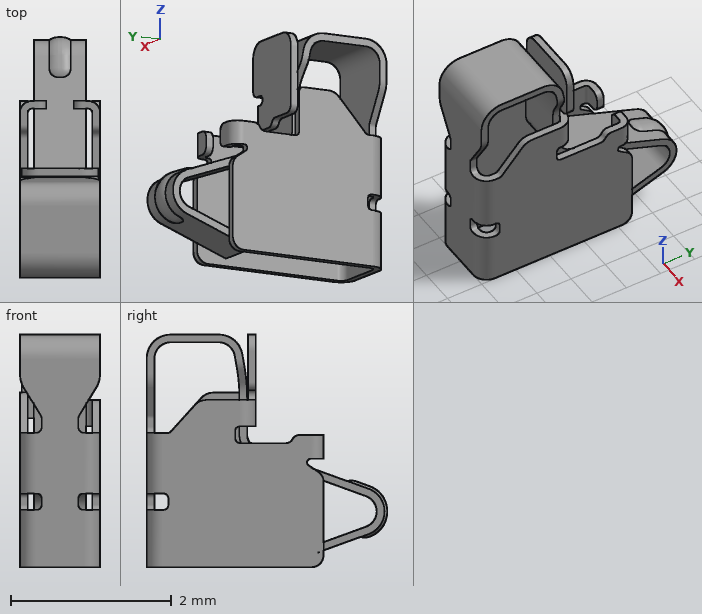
import cadquery as cq
import math

sheet = 0.1
width = 1.0
height = 2.9
length = 3.0
half_width = width / 2

box_depth = 2.205
corner_bend = 0.195
wall_top = 1.675
panel_corner = 0.15
rear_edge_top = 1.143
rear_lean_rise = 0.14
rear_lean_round = 0.15
hook_bottom = 1.35
hook_top = 1.65
slot_end = 2.0
slot_round = 0.04
ledge_height = 1.548
step_front = 1.735
step_angle = math.radians(60)
step_round = 0.095
riser = 1.255
riser_round = 0.06
left_top = 2.178
right_top = 2.085
left_top_corner = 0.06
slope_foot = 0.285
slope_angle = math.radians(47.8)
slope_top_round = 0.2
slope_foot_round = 0.06

hook_bend = 0.15
hook_tip = 0.175
hook_tip_round = 0.1

window_bottom = 0.717
window_top = 0.918
window_inner = 0.228
window_depth = 0.27
window_round = 0.06

arch_bend = 0.3
back_face = 1.255
back_lean = 10.0
back_lean_length = 0.135
back_curve = 2.4
knee_round = 0.185
arm_tilt = 20.0
loop_radius = 0.3
loop_height = 0.695
lower_arm = 0.99
arm_half_width = 0.325
neck_half_width = 0.228
neck_foot_round = 0.075
neck_top = 1.872
neck_top_round = 0.075
front_shoulder = 2.315
front_shoulder_round = 0.3
back_taper_bottom = 2.223
back_taper_round = 0.3
back_shoulder = 2.52
back_shoulder_round = 0.24

rib_height = 0.035
rib_half_width = 0.132
rib_flat = 0.025
rib_straight = 0.177

plate_rear = 1.362
plate_half_width = 0.477
plate_bend = 0.2
plate_low = 1.755
relief_end = 1.105
relief_round = 0.06
relief_bend_round = 0.055
plate_corner = 0.2
plate_foot_corner = 0.1
plate_notch_top = 2.205
plate_notch_end = 0.24
plate_notch_round = 0.057



def rounded_outline(workplane, corners):
    """Closed outline from (x, y, radius) corners; radius 0 keeps a corner sharp."""
    stretches = []
    for i, (x, y, radius) in enumerate(corners):
        corner = cq.Vector(x, y)
        before = (cq.Vector(*corners[i - 1][:2]) - corner).normalized()
        after = (cq.Vector(*corners[(i + 1) % len(corners)][:2]) - corner).normalized()
        if radius == 0:
            stretches.append([corner])
            continue
        half_angle = before.getAngle(after) / 2
        setback = radius / math.tan(half_angle)
        to_arc = radius / math.sin(half_angle) - radius
        middle = corner + (before + after).normalized() * to_arc
        stretches.append([corner + before * setback, middle, corner + after * setback])
    outline = workplane.moveTo(*stretches[0][-1].toTuple()[:2])
    for points in stretches[1:] + stretches[:1]:
        outline = outline.lineTo(*points[0].toTuple()[:2])
        if len(points) == 3:
            outline = outline.threePointArc(points[1].toTuple()[:2], points[2].toTuple()[:2])
    return outline.close()


def sheet_outline(workplane, start, heading, moves):
    """Edge outline of bent sheet that follows a centre line.

    A move is (length,) for a straight or (radius, angle) for a bend of the
    centre line, with positive angles turning left. Angles are in degrees.
    """
    half = sheet / 2
    point = cq.Vector(*start)
    angle = math.radians(heading)

    def sides():
        normal = cq.Vector(-math.sin(angle), math.cos(angle))
        return [(point + normal * offset).toTuple()[:2] for offset in (half, -half)]

    stations = [sides()]
    middles = []
    for move in moves:
        if len(move) == 1:
            point += cq.Vector(math.cos(angle), math.sin(angle)) * move[0]
            middles.append(None)
        else:
            radius, turn = move
            half_turn = math.radians(turn) / 2
            chord = 2 * radius * math.sin(abs(half_turn) / 2)
            for is_end in (False, True):
                direction = angle + half_turn / 2
                point += cq.Vector(math.cos(direction), math.sin(direction)) * chord
                angle += half_turn
                if not is_end:
                    middles.append(sides())
        stations.append(sides())

    def draw(outline, middle, end, side):
        if middle is None:
            return outline.lineTo(*end[side])
        return outline.threePointArc(middle[side], end[side])

    outline = workplane.moveTo(*stations[0][0])
    for middle, end in zip(middles, stations[1:]):
        outline = draw(outline, middle, end, 0)
    outline = outline.lineTo(*stations[-1][1])
    for middle, end in zip(reversed(middles), reversed(stations[:-1])):
        outline = draw(outline, middle, end, 1)
    return outline.close()


def mirrored_outline(half):
    """Complete an outline symmetric about x = 0 from its +x corners."""
    return half + [(-x, y, radius) for x, y, radius in reversed(half)]


def y_slab(corners, y_start, y_end):
    """Extrude an X-Z outline from y_start to y_end."""
    plane = cq.Workplane("XZ", origin=(0, y_start, 0))
    return rounded_outline(plane, corners).extrude(y_start - y_end)




def corner_bends():
    """U-shaped front of the box: front wall with a bend at each side."""
    bend = (corner_bend - sheet / 2, 90)
    start = (-half_width + sheet / 2, corner_bend)
    front = (width - 2 * corner_bend,)
    return sheet_outline(cq.Workplane("XY"), start, -90, [bend, front, bend]).extrude(wall_top)


def panel(x_start, top, rear_corners):
    """Side panel; rear_corners lead from the end of the ledge to the panel top."""
    step_run = (hook_top - ledge_height) / math.tan(step_angle)
    step_setback = step_round * math.tan(step_angle / 2)
    step_foot = step_front + step_setback
    slope_top = slope_foot + (top - wall_top) / math.tan(slope_angle)
    hook_start = box_depth - hook_bend
    corners = [
        (corner_bend, 0, 0),
        (box_depth, 0, panel_corner),
        (box_depth, rear_edge_top, rear_lean_round),
        (slot_end, rear_edge_top + rear_lean_rise, slot_round),
        (slot_end, hook_bottom, slot_round),
        (hook_start, hook_bottom, 0),
        (hook_start, hook_top, 0),
        (step_foot + step_run, hook_top, step_round),
        (step_foot, ledge_height, step_round),
        *rear_corners,
        (slope_top, top, slope_top_round),
        (slope_foot, wall_top, slope_foot_round),
        (corner_bend, wall_top, 0),
    ]
    return rounded_outline(cq.Workplane("YZ", origin=(x_start, 0, 0)), corners).extrude(sheet)


def left_panel():
    rear = [(riser, ledge_height, riser_round), (riser, left_top, left_top_corner)]
    return panel(-half_width, left_top, rear)


def right_panel():
    """Panel with the stop plate's bend at its upper rear edge and a relief below the bend."""
    bend_start = plate_rear - plate_bend
    rear = [
        (relief_end, ledge_height, relief_round),
        (relief_end, plate_low, relief_bend_round),
        (bend_start, plate_low, 0),
        (bend_start, right_top, 0),
    ]
    return panel(half_width - sheet, right_top, rear)


def hook():
    """Inward hook at the rear of the -X panel."""
    start = (-half_width + sheet / 2, box_depth - hook_bend)
    arm = half_width - hook_bend - hook_tip
    moves = [(hook_bend - sheet / 2, -90), (arm,)]
    plane = cq.Workplane("XY", origin=(0, 0, hook_bottom))
    bent = sheet_outline(plane, start, 90, moves).extrude(hook_top - hook_bottom)
    return bent.faces(">X").edges("|Y").fillet(hook_tip_round)


def corner_window():
    """Cutter for the window that wraps around the +X front corner."""
    outside = half_width + sheet
    front_part = y_slab(
        [
            (window_inner, window_bottom, window_round),
            (outside, window_bottom, 0),
            (outside, window_top, 0),
            (window_inner, window_top, window_round),
        ],
        -sheet,
        sheet,
    )
    bend_start = half_width - corner_bend
    side_plane = cq.Workplane("YZ", origin=(bend_start, 0, 0))
    side_part = rounded_outline(
        side_plane,
        [
            (-sheet, window_bottom, 0),
            (window_depth, window_bottom, window_round),
            (window_depth, window_top, window_round),
            (-sheet, window_top, 0),
        ],
    ).extrude(outside - bend_start)
    return front_part.union(side_part)




def stop_plate():
    bend_x = half_width - plate_bend
    step_bottom = plate_low + sheet
    step_half_run = sheet / math.tan(step_angle) / 2
    flat = y_slab(
        [
            (bend_x, plate_low, 0),
            (step_half_run, plate_low, step_round),
            (-step_half_run, step_bottom, step_round),
            (-plate_half_width, step_bottom, plate_foot_corner),
            (-plate_half_width, height, plate_corner),
            (plate_half_width, height, plate_corner),
            (plate_half_width, plate_notch_top, plate_foot_corner),
            (plate_notch_end, plate_notch_top, plate_notch_round),
            (plate_notch_end, right_top, plate_notch_round),
            (bend_x, right_top, 0),
        ],
        plate_rear - sheet,
        plate_rear,
    )
    start = (half_width - sheet / 2, plate_rear - plate_bend)
    plane = cq.Workplane("XY", origin=(0, 0, plate_low))
    moves = [(plate_bend - sheet / 2, 90)]
    bend = sheet_outline(plane, start, 90, moves).extrude(right_top - plate_low)
    return flat.union(bend)



loop_y = length - rib_height - loop_radius
tilt = math.radians(arm_tilt)


def spring_strip():
    """Front leg, arch, back leg and contact loop, at full width."""
    lean = math.radians(back_lean)
    arch_z = height - arch_bend
    lean_start_y = back_face - back_curve * (1 - math.cos(lean)) - back_lean_length * math.sin(lean)
    rear_bend_y = lean_start_y - arch_bend * math.cos(lean)
    lean_end_z = arch_z + arch_bend * math.sin(lean) - back_lean_length * math.cos(lean)
    back_curve_end = lean_end_z - back_curve * math.sin(lean)

    knee_z = loop_height + (loop_radius + (loop_y - back_face) * math.sin(tilt)) / math.cos(tilt)
    knee_turn = 90 - arm_tilt
    knee_setback = knee_round * math.tan(math.radians(knee_turn / 2))
    arm_end_y = loop_y + loop_radius * math.sin(tilt)
    upper_arm = (arm_end_y - back_face) / math.cos(tilt) - knee_setback

    half = sheet / 2
    moves = [
        (arch_z,),
        (arch_bend - half, -90),
        (rear_bend_y - arch_bend,),
        (arch_bend - half, back_lean - 90),
        (back_lean_length,),
        (back_curve - half, -back_lean),
        (back_curve_end - knee_z - knee_setback,),
        (knee_round + half, knee_turn),
        (upper_arm,),
        (loop_radius - half, 2 * arm_tilt - 180),
        (lower_arm,),
    ]
    plane = cq.Workplane("YZ")
    return sheet_outline(plane, (half, 0), 90, moves).extrude(half_width, both=True)


def spring():
    """Spring strip narrowed to its front and rear width outlines."""
    front_width = mirrored_outline(
        [
            (half_width - corner_bend, 0, 0),
            (half_width - corner_bend, wall_top, 0),
            (neck_half_width, wall_top, neck_foot_round),
            (neck_half_width, neck_top, neck_top_round),
            (half_width, front_shoulder, front_shoulder_round),
            (half_width, height, 0),
        ]
    )
    rear_width = mirrored_outline(
        [
            (arm_half_width, 0, 0),
            (arm_half_width, back_taper_bottom, back_taper_round),
            (half_width, back_shoulder, back_shoulder_round),
            (half_width, height, 0),
        ]
    )
    middle = back_face / 2
    envelope = y_slab(front_width, 0, middle).union(y_slab(rear_width, middle, length))
    return spring_strip().intersect(envelope)


def contact_rib():
    """Rounded rib along the outside of the loop, with domed ends."""
    base = loop_radius - sheet / 2
    crest = loop_radius + rib_height
    flank_run = rib_half_width - rib_flat
    flank = (flank_run**2 + rib_height**2) / (2 * rib_height)
    half_run = flank_run / 2
    flank_middle = crest - flank + math.sqrt(flank**2 - half_run**2)

    def section():
        return (
            cq.Workplane("XZ")
            .moveTo(-rib_half_width, base)
            .lineTo(-rib_half_width, loop_radius)
            .threePointArc((-rib_flat - half_run, flank_middle), (-rib_flat, crest))
            .lineTo(rib_flat, crest)
            .threePointArc((rib_flat + half_run, flank_middle), (rib_half_width, loop_radius))
            .lineTo(rib_half_width, base)
            .close()
        )

    def flank_section(plane):
        return (
            cq.Workplane(plane)
            .moveTo(0, base)
            .lineTo(0, crest)
            .threePointArc((half_run, flank_middle), (flank_run, loop_radius))
            .lineTo(flank_run, base)
            .close()
        )

    def end_dome():
        dome = flank_section("XZ").revolve(360, (0, 0), (0, 1))
        ridge = flank_section("YZ").extrude(rib_flat, both=True)
        ridge = ridge.union(ridge.mirror("XZ"))
        for side in (-rib_flat, rib_flat):
            ridge = ridge.union(dome.translate((side, 0, 0)))
        return ridge

    def turned(body, angle):
        return body.rotate((0, 0, 0), (1, 0, 0), -angle)

    arc = section().revolve(180 - 2 * arm_tilt, (0.03, 0), (0, 0))
    upper = section().extrude(rib_straight).union(end_dome().translate((0, -rib_straight, 0)))
    rib = turned(arc, arm_tilt).union(turned(upper, arm_tilt))
    rib = rib.union(turned(end_dome(), 180 - arm_tilt))
    return rib.translate((0, loop_y, loop_height))


left_hook = hook()
window = corner_window()

result = corner_bends().union(left_panel()).union(right_panel())
result = result.union(left_hook).union(left_hook.mirror("YZ"))
result = result.union(stop_plate()).union(spring())
result = result.cut(window).cut(window.mirror("YZ"))
result = result.union(contact_rib())